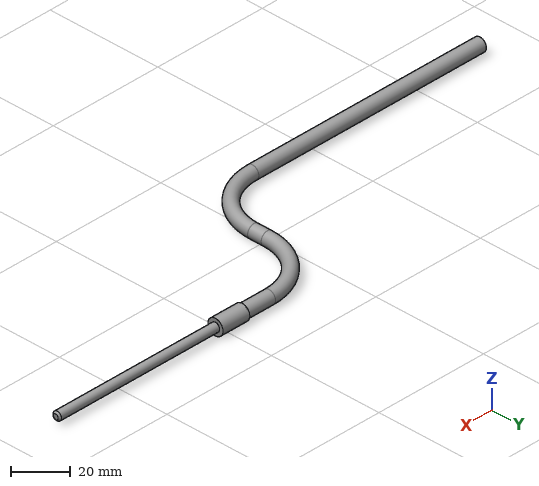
import cadquery as cq

total_length = 261.8
tube_diameter = 6.0
sleeve_diameter = 7.0
rod_diameter = 4.0
axis_offset = 57.0
bend_radius = 25.5
inlet_length = 109.0
outlet_length = 12.8
sleeve_length = 12.8
tip_chamfer = 0.8

middle_x = inlet_length + bend_radius
second_bend_end_x = middle_x + bend_radius
sleeve_start_x = second_bend_end_x + outlet_length
sleeve_end_x = sleeve_start_x + sleeve_length


def bent_tube():
    """Solid round bar swept along an S-shaped path in the XY plane."""
    path = (
        cq.Workplane("XY")
        .moveTo(0, 0)
        .lineTo(inlet_length, 0)
        .tangentArcPoint((middle_x, bend_radius), relative=False)
        .lineTo(middle_x, axis_offset - bend_radius)
        .tangentArcPoint((second_bend_end_x, axis_offset), relative=False)
        .lineTo(sleeve_start_x, axis_offset)
    )
    return cq.Workplane("YZ").circle(tube_diameter / 2).sweep(path)


def upper_cylinder(diameter, start_x, end_x):
    """Cylinder along X on the axis of the sleeve and rod."""
    return (
        cq.Workplane("YZ", origin=(start_x, axis_offset, 0))
        .circle(diameter / 2)
        .extrude(end_x - start_x)
    )


sleeve = upper_cylinder(sleeve_diameter, sleeve_start_x, sleeve_end_x)
rod = upper_cylinder(rod_diameter, sleeve_end_x, total_length).faces(">X").chamfer(tip_chamfer)

result = bent_tube().union(sleeve).union(rod)